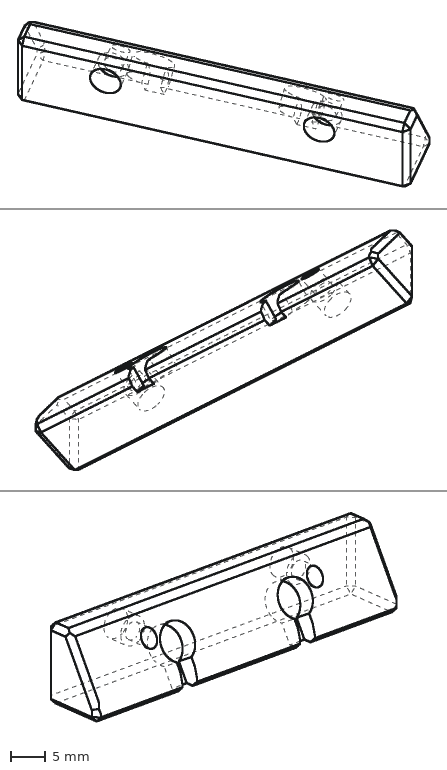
import cadquery as cq
import math

length = 60.0
depth = 10.75
height = 12.85
top_width = 4.7
slope_angle = 60.0
edge_chamfer = 0.95

screw_diameter = 2.8
counterbore_diameter = 4.7
counterbore_depth = 3.6
screw_spacing = 32.65
screw_height = 8.6

keyhole_diameter = 6.3
keyhole_slot_width = 2.9
keyhole_depth = 3.1
keyhole_spacing = 23.15
keyhole_center_y = 8.1

clearance = 3.0
slope_tangent = math.tan(math.radians(slope_angle))


def slope_height(y):
    """Height of the sloped face at a given Y."""
    return height - (y - top_width) * slope_tangent


def make_bar():
    """Sloped prism with every edge chamfered."""
    profile = [
        (0, 0),
        (depth, 0),
        (depth, slope_height(depth)),
        (top_width, height),
        (0, height),
    ]
    prism = cq.Workplane("YZ").polyline(profile).close().extrude(length)
    long_edges_cut = prism.edges("|X").chamfer(edge_chamfer)
    ends_and_square_edges_cut = prism.edges("(not |X) or <Y or <Z").chamfer(edge_chamfer)
    return long_edges_cut.intersect(ends_and_square_edges_cut)


def make_screw_hole(x):
    """Through hole with a counterbore entering from the front face."""
    front = cq.Workplane("XZ", origin=(x, 0, screw_height))
    hole = front.circle(screw_diameter / 2).extrude(-(depth + clearance))
    counterbore = front.circle(counterbore_diameter / 2).extrude(-counterbore_depth)
    return hole.union(counterbore)


def make_keyhole(x):
    """Round entry and a slot running down the slope and out of the bottom."""
    angle = math.radians(slope_angle)
    face = cq.Plane(
        origin=(x, keyhole_center_y, slope_height(keyhole_center_y)),
        xDir=(1, 0, 0),
        normal=(0, math.sin(angle), math.cos(angle)),
    )
    floor = cq.Workplane(face).workplane(offset=-keyhole_depth)
    cut_height = keyhole_depth + clearance
    slot_length = height + clearance
    entry = floor.circle(keyhole_diameter / 2).extrude(cut_height)
    slot = (
        floor.center(0, slot_length / 2)
        .rect(keyhole_slot_width, slot_length)
        .extrude(cut_height)
    )
    return entry.union(slot)


result = make_bar()
for side in (-1, 1):
    result = result.cut(make_screw_hole(length / 2 + side * screw_spacing / 2))
    result = result.cut(make_keyhole(length / 2 + side * keyhole_spacing / 2))